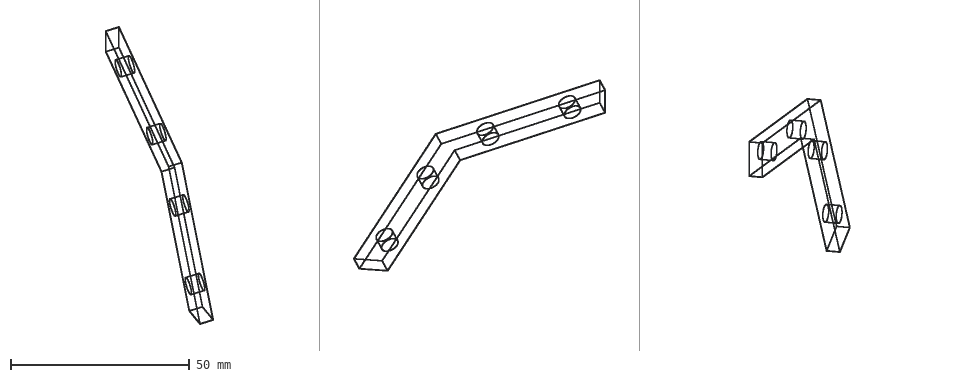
import cadquery as cq
import math

overall_length = 75.0
bend_angle = 60.0
arm_width = 10.0
thickness = 4.0
hole_diameter = 5.0
hole_spacing = 25.0
hole_end_distance = 10.0

bend = math.radians(bend_angle)
arm_length = overall_length / (1 + math.cos(bend))
inner_setback = arm_width * math.tan(bend / 2)
hole_distances = [hole_end_distance, hole_end_distance + hole_spacing]


def second_arm_point(along, inward):
    """XZ point at a distance along the second arm from the outer corner, and inward from its outer edge."""
    x = arm_length + along * math.cos(bend) - inward * math.sin(bend)
    z = -along * math.sin(bend) - inward * math.cos(bend)
    return (x, z)


outline = [
    (0, 0),
    (arm_length, 0),
    second_arm_point(arm_length, 0),
    second_arm_point(arm_length, arm_width),
    (arm_length - inner_setback, -arm_width),
    (0, -arm_width),
]
plate = cq.Workplane("XZ").polyline(outline).close().extrude(thickness)

hole_centers = []
for distance in hole_distances:
    hole_centers.append((distance, -arm_width / 2))
    hole_centers.append(second_arm_point(arm_length - distance, arm_width / 2))
holes = cq.Workplane("XZ").pushPoints(hole_centers).circle(hole_diameter / 2).extrude(thickness)

result = plate.cut(holes)